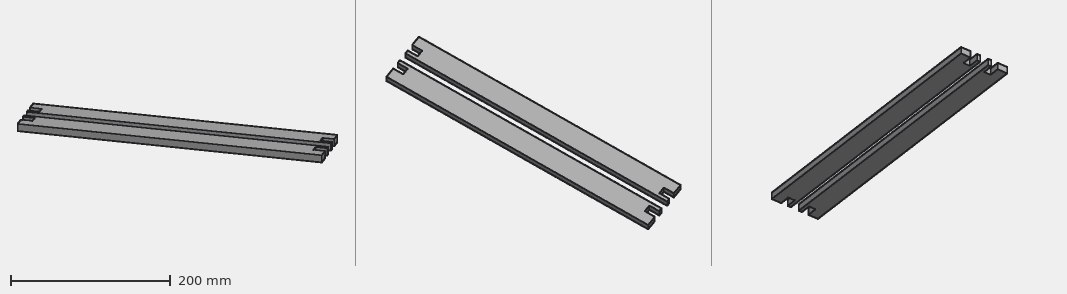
import cadquery as cq

length = 396.0
thickness = 10.0
overall_width = 72.5
rail_width = 30.0
slot_depth = 15.0
slot_width = 10.0
inner_prong_width = 5.0

inner_edge = overall_width / 2 - rail_width
slot_center = inner_edge + inner_prong_width + slot_width / 2


def make_rail(side):
    """Slotted rail on the +Y (side = 1) or -Y (side = -1) half of the part."""
    rail = cq.Workplane("XY").box(length, rail_width, thickness)
    rail = rail.translate((0, side * (inner_edge + rail_width / 2), 0))
    for end in (-1, 1):
        slot = cq.Workplane("XY").box(slot_depth, slot_width, thickness)
        slot_x = end * (length - slot_depth) / 2
        rail = rail.cut(slot.translate((slot_x, side * slot_center, 0)))
    return rail


rails = [make_rail(side) for side in (-1, 1)]

result = cq.Compound.makeCompound([rail.val() for rail in rails])